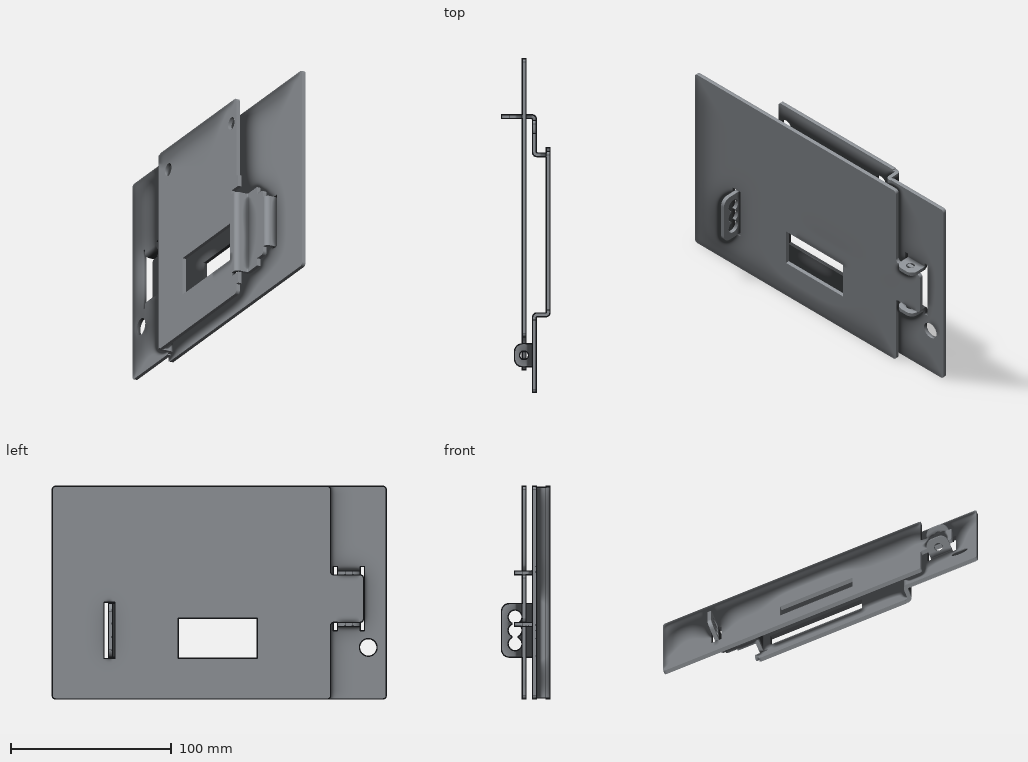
import cadquery as cq


sheet = 2.5
inner_bend = 0.5
outer_bend = inner_bend + sheet
corner_radius = 2.0
plate_height = 132.6
plate_top = plate_height / 2
assembly_length = 208.2
bottom_end = -assembly_length / 2
through = 41.6

door_x = -2.3
low_sheet_x = 4.2
back_sheet_x = 12.7

door_end = assembly_length / 2
door_start = -69.3
tongue_tip = -90.0
tongue_width = 29.5
hinge_z = -3.7
lock_z = -23.5
slot_y = 68.3
slot_width = 6.9
slot_height = 35.0
window_end = 25.5
window_start = -23.5
window_top = -16.0
window_bottom = -40.8

pivot_y = -80.8
pivot_width = 4.8
pivot_round = 0.6
pivot_hole_diameter = 5.5
ear_width = 14.4
ear_tip_x = -7.0
ear_tip_radius = 5.0
hinge_relief_width = 2.5
hinge_relief_depth = 2.7

lower_web_y = -54.3
upper_web_y = 45.4
web_trim = 0.6
web_trim_start = -58.7
web_trim_end = -52.5
back_corner_y = 46.2
back_lug_y = 48.5
back_lug_height = 7.5
flange_height = 53.3
flange_relief_width = 2.5
flange_relief_y = 40.0
flange_step_y = 57.5
flange_shoulder_y = 65.4
shoulder_margin = 5.0
back_window_end = 37.9
mount_hole_ys = (-42.0, 39.8)
mount_hole_z = 51.2
mount_hole_diameter = 8.3
screw_hole_y = -92.9
screw_hole_z = -34.1
screw_hole_diameter = 10.8

hasp_y = 69.1
hasp_tip_x = -15.2
hasp_height = 33.5
hasp_tip_radius = 5.0
lock_hole_x = -6.7
lock_hole_diameter = 8.5
lock_hole_pitch = 8.3
lock_neck_width = 3.5


def block(x_range, y_range, z_range):
    """Box between the given limits."""
    size = [high - low for low, high in (x_range, y_range, z_range)]
    corner = (x_range[0], y_range[0], z_range[0])
    return cq.Workplane("XY").box(*size, centered=False).translate(corner)


def plate(x_face, y_range, z_range):
    """Flat piece of sheet lying in a YZ plane, with its -X face at x_face."""
    return block((x_face, x_face + sheet), y_range, z_range)


def across_x(y_range, z_range):
    """Rectangular cutter through every sheet that lies in a YZ plane."""
    return block((-through, through), y_range, z_range)


def span(centre, size):
    """Limits of a length centred on a point."""
    return (centre - size / 2, centre + size / 2)


def make_door():
    """Flat door with a pivoted tongue, a slot for the hasp tongue and a window."""
    panel = plate(door_x, (door_start, door_end), (-plate_top, plate_top)).edges("|X").fillet(corner_radius)

    tongue_z = span(hinge_z, tongue_width)
    tongue = plate(door_x, (tongue_tip, door_start), tongue_z).edges("|X and <Y").fillet(corner_radius)
    door = panel.union(tongue)
    for z in tongue_z:
        root = cq.selectors.NearestToPointSelector((door_x + sheet / 2, door_start, z))
        door = door.edges("|X").edges(root).fillet(corner_radius)

    for base_z, end_face in ((tongue_z[1], ">Z"), (tongue_z[0] - sheet, "<Z")):
        pivot = plate(door_x, span(pivot_y, pivot_width), (base_z, base_z + sheet))
        door = door.union(pivot.faces(end_face).edges("|X").fillet(pivot_round))

    door = door.cut(across_x(span(slot_y, slot_width), span(lock_z, slot_height)))
    return door.cut(across_x((window_start, window_end), (window_bottom, window_top)))


def round_bend(body, axis, inner_point, outer_point):
    """Round the inner and the outer edge of one bend."""
    for point, radius in ((inner_point, inner_bend), (outer_point, outer_bend)):
        nearest = cq.selectors.NearestToPointSelector(point)
        body = body.edges(f"|{axis}").edges(nearest).fillet(radius)
    return body


def make_bent_sheet():
    """Constant profile of the bracket: low sheet, web, back sheet, web, flange and hasp tongue."""
    low_far_x = low_sheet_x + sheet
    back_far_x = back_sheet_x + sheet
    lower_web_low = lower_web_y - sheet
    upper_web_low = upper_web_y - sheet
    hasp_low = hasp_y - sheet
    profile = [
        (low_sheet_x, bottom_end),
        (low_far_x, bottom_end),
        (low_far_x, lower_web_low),
        (back_far_x, lower_web_low),
        (back_far_x, upper_web_y),
        (low_far_x, upper_web_y),
        (low_far_x, hasp_y),
        (hasp_tip_x, hasp_y),
        (hasp_tip_x, hasp_low),
        (low_sheet_x, hasp_low),
        (low_sheet_x, upper_web_low),
        (back_sheet_x, upper_web_low),
        (back_sheet_x, lower_web_y),
        (low_sheet_x, lower_web_y),
    ]
    body = cq.Workplane("XY").polyline(profile).close().extrude(plate_top, both=True)
    bends = [
        ((low_far_x, lower_web_low), (low_sheet_x, lower_web_y)),
        ((back_sheet_x, lower_web_y), (back_far_x, lower_web_low)),
        ((back_sheet_x, upper_web_low), (back_far_x, upper_web_y)),
        ((low_far_x, upper_web_y), (low_sheet_x, upper_web_low)),
        ((low_sheet_x, hasp_low), (low_far_x, hasp_y)),
    ]
    for inner, outer in bends:
        body = round_bend(body, "Z", (*inner, 0), (*outer, 0))
    return body.edges("|X and <Y").fillet(corner_radius)


def trim_lower_web(body):
    """Set the ends of the lower web slightly back from the plate edges."""
    kept = plate_top - web_trim
    for z_range in ((kept, plate_top), (-plate_top, -kept)):
        body = body.cut(across_x((web_trim_start, web_trim_end), z_range))
    return body


def shape_flange(body):
    """Narrow the upper web and flange step by step down to the hasp tongue."""
    shoulder_z = span(lock_z, hasp_height + 2 * shoulder_margin)
    steps = [
        (flange_relief_y, span(lock_z, flange_height)),
        (flange_step_y, shoulder_z),
        (flange_shoulder_y, span(lock_z, hasp_height)),
    ]
    for step_y, (low, high) in steps:
        for z_range in ((high, plate_top), (-plate_top, low)):
            body = body.cut(across_x((step_y, hasp_y), z_range))
    for z in shoulder_z:
        corner = cq.selectors.NearestToPointSelector((low_sheet_x + sheet / 2, flange_shoulder_y, z))
        body = body.edges("|X").edges(corner).fillet(corner_radius)
    return body


def make_back_ends():
    """Ends of the back sheet on either side of the upper web, beyond the bend reliefs."""
    relief_low, relief_high = span(lock_z, flange_height + 2 * flange_relief_width)
    upper_end = plate(back_sheet_x, (flange_relief_y, back_corner_y), (relief_high, plate_top))
    upper_end = upper_end.edges("|X and >Y and >Z").fillet(corner_radius)
    lower_end = plate(back_sheet_x, (flange_relief_y, back_corner_y), (-plate_top, relief_low))
    lower_end = lower_end.edges("|X and >Y and <Z").fillet(corner_radius)

    lug_y = (flange_relief_y, back_lug_y)
    upper_lug = plate(back_sheet_x, lug_y, (relief_high, relief_high + back_lug_height))
    lower_lug = plate(back_sheet_x, lug_y, (relief_low - back_lug_height, relief_low))
    return upper_end.union(upper_lug), lower_end.union(lower_lug)


def make_lock_holes():
    """Cutter for three lock holes in a row, joined by narrow necks."""
    centres = [(lock_hole_x, lock_z + step * lock_hole_pitch) for step in (-1, 0, 1)]
    depth = 2 * sheet
    holes = cq.Workplane("XZ", origin=(0, hasp_y, 0)).pushPoints(centres).circle(lock_hole_diameter / 2)
    holes = holes.extrude(depth)
    neck_z = span(lock_z, 2 * lock_hole_pitch)
    neck = block(span(lock_hole_x, lock_neck_width), (hasp_y - depth, hasp_y), neck_z)
    return holes.union(neck)


def make_ear(side):
    """Hinge ear bent out of the low sheet; side is 1 above the tongue and -1 below it."""
    inner_z = tongue_width / 2
    outer_z = inner_z + sheet
    foot_z = outer_z + hinge_relief_depth
    ear_y = span(pivot_y, ear_width)
    far_x = low_sheet_x + sheet
    ear = block((ear_tip_x, far_x), ear_y, (inner_z, outer_z))
    ear = ear.edges("|Z and <X").fillet(ear_tip_radius)
    ear = ear.union(plate(low_sheet_x, ear_y, (inner_z, foot_z)))
    ear = round_bend(ear, "Y", (low_sheet_x, pivot_y, outer_z), (far_x, pivot_y, inner_z))
    hole = cq.Workplane("XY").center(door_x + sheet / 2, pivot_y).circle(pivot_hole_diameter / 2)
    ear = ear.cut(hole.extrude(through))
    if side < 0:
        ear = ear.mirror("XY")
    return ear.translate((0, 0, hinge_z))


def add_hinge(body):
    """Open the low sheet around the door tongue and add the two ears."""
    opening_height = tongue_width + 2 * (sheet + hinge_relief_depth)
    opening_width = ear_width + 2 * hinge_relief_width
    body = body.cut(across_x(span(pivot_y, opening_width), span(hinge_z, opening_height)))
    for side in (1, -1):
        body = body.union(make_ear(side))
    return body


def make_bracket():
    """Bent bracket that carries the door hinge at one end and the hasp tongue at the other."""
    body = shape_flange(trim_lower_web(make_bent_sheet()))
    for back_end in make_back_ends():
        body = body.union(back_end)
    body = body.edges("|Y and <X").fillet(hasp_tip_radius).cut(make_lock_holes())
    body = add_hinge(body)
    body = body.cut(plate(back_sheet_x, (window_start, back_window_end), (window_bottom, window_top)))
    screw_hole = cq.Workplane("YZ").center(screw_hole_y, screw_hole_z).circle(screw_hole_diameter / 2)
    body = body.cut(screw_hole.extrude(through))
    mount_centres = [(y, mount_hole_z) for y in mount_hole_ys]
    mount_holes = cq.Workplane("YZ").pushPoints(mount_centres).circle(mount_hole_diameter / 2)
    return body.cut(mount_holes.extrude(through))


door = make_door()
bracket = make_bracket()
result = cq.Compound.makeCompound([door.solids().val(), bracket.solids().val()])